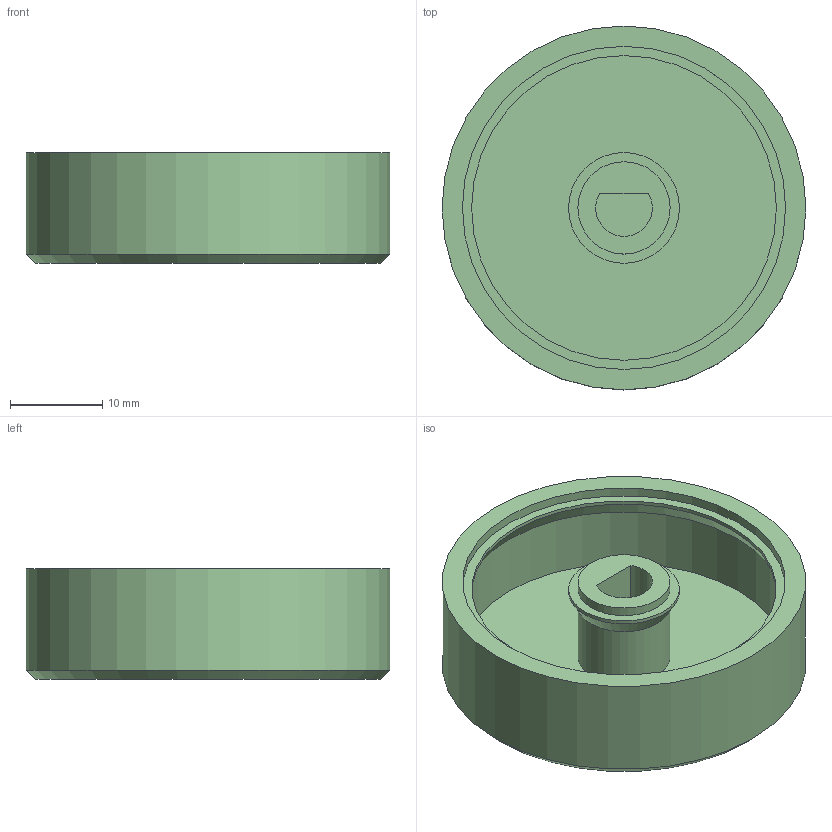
import cadquery as cq
import math

outer_diameter = 39.4
height = 12.0
base_chamfer = 1.0
floor_thickness = 2.0

snap_depth = 1.0
snap_land = 0.4
snap_projection = 1.0
snap_taper_angle = 30.0

cavity_diameter = 35.0
hub_diameter = 10.0

bore_diameter = 6.15
bore_flat_to_back = 4.65

shoulder_z = height - snap_depth
land_bottom_z = shoulder_z - snap_land
snap_taper_height = snap_projection / math.tan(math.radians(snap_taper_angle))
taper_bottom_z = land_bottom_z - snap_taper_height


def snap_turning(wall_radius, ridge_radius):
    """Solid of revolution from floor to top, with a snap ridge near its top."""
    profile = [
        (0, floor_thickness),
        (wall_radius, floor_thickness),
        (wall_radius, taper_bottom_z),
        (ridge_radius, land_bottom_z),
        (ridge_radius, shoulder_z),
        (wall_radius, shoulder_z),
        (wall_radius, height),
        (0, height),
    ]
    return cq.Workplane("XZ").polyline(profile).close().revolve(360, (0, 0), (0, 1))


def cup_blank():
    """Plain disc with a chamfered bottom edge."""
    disc = cq.Workplane("XY").circle(outer_diameter / 2).extrude(height)
    return disc.faces("<Z").edges().chamfer(base_chamfer)


def cavity():
    """Void inside the rim; its ridge leaves an inward snap lip."""
    wall_radius = cavity_diameter / 2
    return snap_turning(wall_radius, wall_radius - snap_projection)


def hub():
    """Central post with an outward snap collar."""
    wall_radius = hub_diameter / 2
    return snap_turning(wall_radius, wall_radius + snap_projection)


def d_bore():
    """Round bore down to the floor level, cut short by a flat."""
    bore_depth = height - floor_thickness
    bore_radius = bore_diameter / 2
    base = cq.Workplane("XY").workplane(offset=floor_thickness)
    round_bore = base.circle(bore_radius).extrude(bore_depth)
    flat_limit = (
        base.center(0, bore_flat_to_back - bore_diameter)
        .rect(bore_diameter, bore_diameter)
        .extrude(bore_depth)
    )
    return round_bore.intersect(flat_limit)


result = cup_blank().cut(cavity()).union(hub()).cut(d_bore())